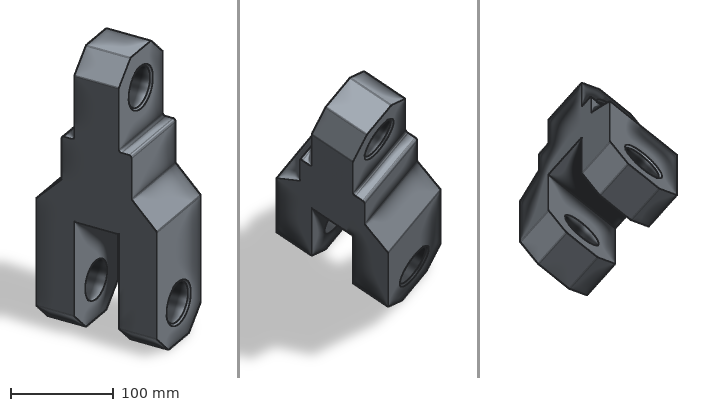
import cadquery as cq

height = 314.0
width = 135.5
depth = 85.7

tongue_width = 50.2
shoulder_width = 78.8
shoulder_z = 219.8
taper_top_z = 171.0
taper_height = (width - shoulder_width) / 2
step_fillet = 2.8
bend_fillet = 1.5

slot_width = tongue_width
slot_height = 128.0

end_chamfer = 23.0

hole_diameter = 43.0
hole_chamfer = 2.2
tongue_hole_z = 271.3
fork_hole_z = 43.0


def stepped_body():
    """Fork and tongue profile in XZ, extruded through the depth."""
    right_side = [
        (slot_width / 2, slot_height),
        (slot_width / 2, 0),
        (width / 2, 0),
        (width / 2, taper_top_z - taper_height),
        (shoulder_width / 2, taper_top_z),
        (shoulder_width / 2, shoulder_z),
        (tongue_width / 2, shoulder_z),
        (tongue_width / 2, height),
    ]
    left_side = [(-x, z) for x, z in reversed(right_side)]
    body = cq.Workplane("XZ").polyline(right_side + left_side).close().extrude(depth / 2, both=True)
    rounded_corners = [
        (width / 2, taper_top_z - taper_height, bend_fillet),
        (shoulder_width / 2, taper_top_z, bend_fillet),
        (shoulder_width / 2, shoulder_z, step_fillet),
        (tongue_width / 2, shoulder_z, step_fillet),
    ]
    for corner_x, corner_z, radius in rounded_corners:
        for side in (-1, 1):
            edge = cq.selectors.NearestToPointSelector((side * corner_x, 0, corner_z))
            body = body.edges("|Y").edges(edge).fillet(radius)
    return body


def end_envelope():
    """Soft-cornered octagonal YZ outline that bevels the front and back of both ends."""
    block = cq.Workplane("XY").box(width, depth, height, centered=(True, True, False))
    block = block.faces(">Z").edges("|X").chamfer(end_chamfer)
    block = block.faces("<Z").edges("|X").chamfer(end_chamfer)
    return block.edges("|X").fillet(bend_fillet)


def pin_cutter(hole_z, outer_width):
    """Through pin with a countersink at each outer face."""
    radius = hole_diameter / 2
    mouth = radius + hole_chamfer
    end_x = outer_width / 2
    inner_x = end_x - hole_chamfer
    half_section = [
        (-end_x, 0),
        (-end_x, mouth),
        (-inner_x, radius),
        (inner_x, radius),
        (end_x, mouth),
        (end_x, 0),
    ]
    pin = cq.Workplane("XZ").polyline(half_section).close().revolve(360, (0, 0), (1, 0))
    return pin.translate((0, 0, hole_z))


result = (
    stepped_body()
    .intersect(end_envelope())
    .cut(pin_cutter(tongue_hole_z, tongue_width))
    .cut(pin_cutter(fork_hole_z, width))
)